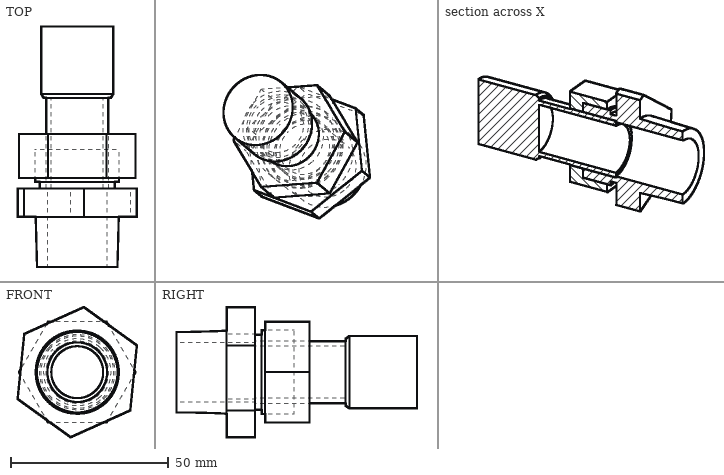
import cadquery as cq
import math


THREAD_END = 16.0
HEX_END = 25.0
GROOVE_END = 27.1
NUT_START = 28.2
NUT_END = 42.3
TAIL_START = 53.8
OVERALL_LENGTH = 76.5

THREAD_TIP_DIAMETER = 25.6
THREAD_ROOT_DIAMETER = 26.5
REAR_THREAD_DIAMETER = 26.7
GROOVE_DIAMETER = 23.95
FITTING_BORE_DIAMETER = 19.0
FITTING_HEX_FLATS = 36.0
CORNER_UP_TURN = 30
FITTING_HEX_TURN = 5.8

NUT_HEX_FLATS = 32.05
NUT_THREAD_LENGTH = 9.2
NUT_THREAD_END = NUT_START + NUT_THREAD_LENGTH

STUB_DIAMETER = 19.8
STUB_BORE_DIAMETER = 16.5
TAIL_DIAMETER = 23.0
TAIL_TIP_DIAMETER = 21.35
TAIL_CHAMFER_LENGTH = 1.2
STUB_START = HEX_END


def plane_at(y):
    """Plane across the axis, facing +Y, with its local axes along -X and +Z."""
    return cq.Plane(origin=(0, y, 0), xDir=(-1, 0, 0), normal=(0, 1, 0))


def cylinder(diameter, start, end):
    return cq.Workplane(plane_at(start)).circle(diameter / 2).extrude(end - start)


def cone(start_diameter, end_diameter, start, end):
    return (
        cq.Workplane(plane_at(start))
        .circle(start_diameter / 2)
        .workplane(offset=end - start)
        .circle(end_diameter / 2)
        .loft(combine=True)
    )


def hexagon(across_flats, start, end, turn):
    """Hexagonal prism with corners on +X and -X, turned clockwise when looking along +Y."""
    across_corners = across_flats / math.cos(math.pi / 6)
    prism = cq.Workplane(plane_at(start)).polygon(6, across_corners).extrude(end - start)
    return prism.rotate((0, 0, 0), (0, 1, 0), turn)


def make_fitting():
    thread = cone(THREAD_TIP_DIAMETER, THREAD_ROOT_DIAMETER, 0, THREAD_END)
    hex_flange = hexagon(FITTING_HEX_FLATS, THREAD_END, HEX_END, CORNER_UP_TURN + FITTING_HEX_TURN)
    groove = cylinder(GROOVE_DIAMETER, HEX_END, GROOVE_END)
    rear_thread = cylinder(REAR_THREAD_DIAMETER, GROOVE_END, NUT_THREAD_END)
    bore = cylinder(FITTING_BORE_DIAMETER, 0, STUB_START)
    socket = cylinder(STUB_DIAMETER, STUB_START, NUT_THREAD_END)
    outside = thread.union(hex_flange).union(groove).union(rear_thread)
    return outside.cut(bore).cut(socket)


def make_union_nut():
    threaded_recess = cylinder(REAR_THREAD_DIAMETER, NUT_START, NUT_THREAD_END)
    stub_hole = cylinder(STUB_DIAMETER, NUT_THREAD_END, NUT_END)
    return hexagon(NUT_HEX_FLATS, NUT_START, NUT_END, 0).cut(threaded_recess).cut(stub_hole)


def make_stub():
    chamfer_end = TAIL_START + TAIL_CHAMFER_LENGTH
    pipe = cylinder(STUB_DIAMETER, STUB_START, TAIL_START)
    tail_chamfer = cone(TAIL_TIP_DIAMETER, TAIL_DIAMETER, TAIL_START, chamfer_end)
    tail = cylinder(TAIL_DIAMETER, chamfer_end, OVERALL_LENGTH)
    bore = cylinder(STUB_BORE_DIAMETER, STUB_START, TAIL_START)
    return pipe.union(tail_chamfer).union(tail).cut(bore)


fitting = make_fitting()
union_nut = make_union_nut()
stub = make_stub()

result = cq.Compound.makeCompound([fitting.val(), union_nut.val(), stub.val()])